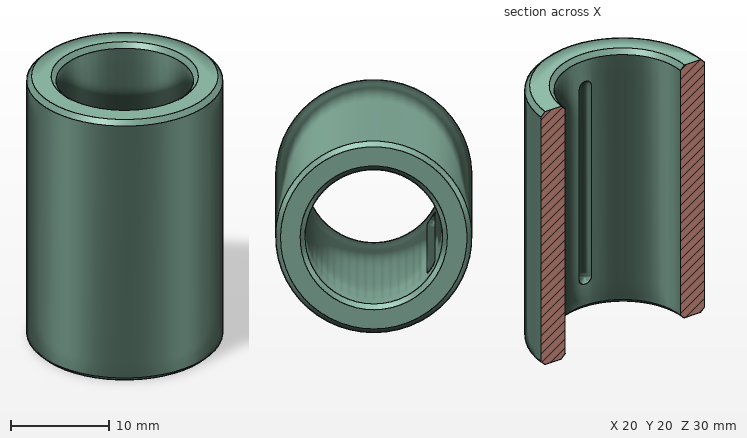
import cadquery as cq

outer_diameter = 20.0
bore_diameter = 14.0
length = 30.0
edge_chamfer = 0.5

groove_width = 1.5
groove_depth = 1.0
groove_end_margin = 3.0

bore_radius = bore_diameter / 2
groove_radius = groove_width / 2
groove_length = length - 2 * groove_end_margin


def make_sleeve():
    """Tube standing on the XY plane, chamfered on all four rims."""
    tube = cq.Workplane("XY").circle(outer_diameter / 2).circle(bore_radius).extrude(length)
    return tube.faces("<Z or >Z").edges().chamfer(edge_chamfer)


def make_groove_cutter():
    """Path of a ball-nosed cutter plunged radially and moved along the bore."""
    ball_center_x = bore_radius + groove_depth - groove_radius
    low_z = groove_end_margin + groove_radius
    travel = groove_length - groove_width

    plunge = (
        cq.Workplane("YZ")
        .center(0, length / 2)
        .slot2D(groove_length, groove_width, 90)
        .extrude(ball_center_x)
    )
    floor = cq.Workplane("XY", origin=(ball_center_x, 0, low_z)).circle(groove_radius).extrude(travel)
    cutter = plunge.union(floor)
    for z in (low_z, low_z + travel):
        ball_end = cq.Workplane("XY", origin=(ball_center_x, 0, z)).sphere(groove_radius)
        cutter = cutter.union(ball_end)
    return cutter


result = make_sleeve().cut(make_groove_cutter())